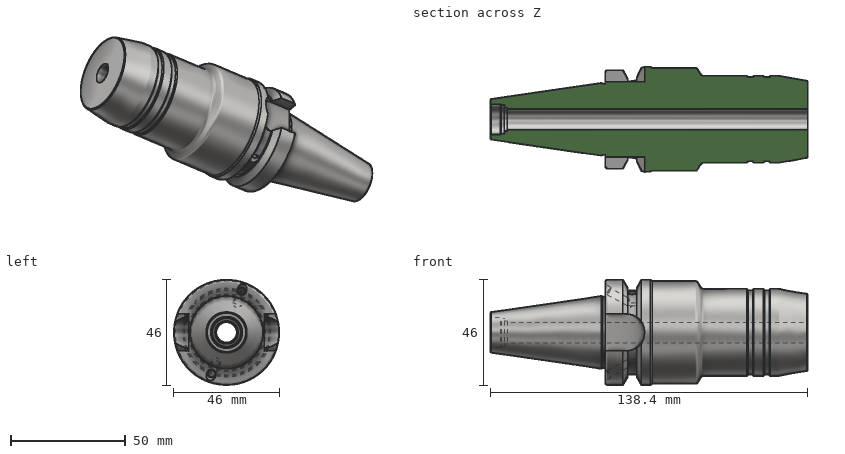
import cadquery as cq
import math

LENGTH = 138.4

TAPER_RATE = 7 / 24
TAPER_LENGTH = 48.5
TAPER_TIP_RADIUS = 8.9
TAPER_TIP_CHAMFER = 0.4
NECK_START = 49.1
NECK_RADIUS = 31.1 / 2

FLANGE_RADIUS = 46.0 / 2
FLANGE_START = 50.1
FLANGE_END = 70.6
FLANGE_FILLET = 1.1
FLANGE_CHAMFER_LENGTH = 0.8
V_GROOVE_CENTER = 61.9
V_GROOVE_WIDTH_AT_RIM = 8.0
V_GROOVE_FLOOR_WIDTH = 3.9
V_GROOVE_FLOOR_RADIUS = 36.8 / 2
V_GROOVE_FLANK_ANGLE = 60.0

BODY_RADIUS = 45.0 / 2
SHOULDER_START = 90.1
SHOULDER_ANGLE = 60.0
SHOULDER_FILLET = 1.5
SLEEVE_RADIUS = 38.0 / 2
NOSE_START = 125.8
NOSE_END_RADIUS = 16.9
NOSE_CHAMFER = 0.4

RING_GROOVE_STARTS = (111.8, 119.0)
RING_GROOVE_WIDTH = 3.0
RING_GROOVE_DEPTH = 0.5

BORE_DIAMETER = 8.9
STEP_DIAMETER = 10.1
STEP_DEPTH = 7.3
COUNTERBORE_DIAMETER = 12.5
COUNTERBORE_DEPTH = 6.1
ENTRY_DIAMETER = 13.1
ENTRY_DEPTH = 4.4
MOUTH_DIAMETER = 13.8

SLOT_WIDTH = 16.0
SLOT_END = 67.3
SLOT_FLOOR = 16.5

COOLANT_ANGLE = 20.0
COOLANT_ENTRY_RADIUS = 19.9
COOLANT_TILT = 30.0
COOLANT_MOUTH_DIAMETER = 4.0
COOLANT_MOUTH_DEPTH = 1.7
COOLANT_DIAMETER = 3.2
CROSS_HOLE_DIAMETER = 4.0
CROSS_HOLE_X = V_GROOVE_CENTER


def make_body():
    """Revolve the outer outline about X."""
    taper_end_radius = TAPER_TIP_RADIUS + TAPER_LENGTH * TAPER_RATE / 2
    tip_chamfer_radius = TAPER_TIP_RADIUS + TAPER_TIP_CHAMFER * TAPER_RATE / 2
    flank_slope = math.tan(math.radians(V_GROOVE_FLANK_ANGLE))
    flank_length = (V_GROOVE_WIDTH_AT_RIM - V_GROOVE_FLOOR_WIDTH) / 2
    flank_foot_radius = FLANGE_RADIUS - flank_length * flank_slope
    rim_half = V_GROOVE_WIDTH_AT_RIM / 2
    floor_half = V_GROOVE_FLOOR_WIDTH / 2
    shoulder_slope = math.tan(math.radians(SHOULDER_ANGLE))
    shoulder_end = SHOULDER_START + (BODY_RADIUS - SLEEVE_RADIUS) / shoulder_slope

    outline = [
        (0, 0),
        (0, TAPER_TIP_RADIUS - TAPER_TIP_CHAMFER),
        (TAPER_TIP_CHAMFER, tip_chamfer_radius),
        (TAPER_LENGTH, taper_end_radius),
        (NECK_START, NECK_RADIUS),
        (FLANGE_START, NECK_RADIUS),
        (FLANGE_START, FLANGE_RADIUS),
        (V_GROOVE_CENTER - rim_half, FLANGE_RADIUS),
        (V_GROOVE_CENTER - floor_half, flank_foot_radius),
        (V_GROOVE_CENTER - floor_half, V_GROOVE_FLOOR_RADIUS),
        (V_GROOVE_CENTER + floor_half, V_GROOVE_FLOOR_RADIUS),
        (V_GROOVE_CENTER + floor_half, flank_foot_radius),
        (V_GROOVE_CENTER + rim_half, FLANGE_RADIUS),
        (FLANGE_END - FLANGE_CHAMFER_LENGTH, FLANGE_RADIUS),
        (FLANGE_END, BODY_RADIUS),
        (SHOULDER_START, BODY_RADIUS),
        (shoulder_end, SLEEVE_RADIUS),
        (NOSE_START, SLEEVE_RADIUS),
        (LENGTH - NOSE_CHAMFER, NOSE_END_RADIUS),
        (LENGTH, NOSE_END_RADIUS - NOSE_CHAMFER),
        (LENGTH, 0),
    ]
    body = cq.Workplane("XY").polyline(outline).close().revolve(360, (0, 0, 0), (1, 0, 0))

    body = body.edges(circle_at(FLANGE_START, FLANGE_RADIUS)).fillet(FLANGE_FILLET)
    body = body.edges(circle_at(SHOULDER_START, BODY_RADIUS)).fillet(SHOULDER_FILLET)
    return body.edges(circle_at(shoulder_end, SLEEVE_RADIUS)).fillet(SHOULDER_FILLET)


def circle_at(x, radius):
    """Select the circular edge of a given radius that lies at x."""
    margin = 0.01

    def disc_box(reach):
        near = (x - margin, -reach, -reach)
        far = (x + margin, reach, reach)
        return cq.selectors.BoxSelector(near, far, boundingbox=True)

    return disc_box(radius + margin) - disc_box(radius - margin)


def make_ring_groove(start):
    """Trapezoidal ring that cuts one groove into the sleeve."""
    end = start + RING_GROOVE_WIDTH
    floor_radius = SLEEVE_RADIUS - RING_GROOVE_DEPTH
    section = [
        (start, SLEEVE_RADIUS),
        (start + RING_GROOVE_DEPTH, floor_radius),
        (end - RING_GROOVE_DEPTH, floor_radius),
        (end, SLEEVE_RADIUS),
    ]
    return cq.Workplane("XY").polyline(section).close().revolve(360, (0, 0, 0), (1, 0, 0))


def make_bore():
    """Through bore with three steps and a chamfered mouth at the taper end."""
    mouth_chamfer = (MOUTH_DIAMETER - ENTRY_DIAMETER) / 2
    entry_taper = (ENTRY_DIAMETER - COUNTERBORE_DIAMETER) / 2
    section = [
        (0, 0),
        (0, MOUTH_DIAMETER / 2),
        (mouth_chamfer, ENTRY_DIAMETER / 2),
        (ENTRY_DEPTH, ENTRY_DIAMETER / 2),
        (ENTRY_DEPTH + entry_taper, COUNTERBORE_DIAMETER / 2),
        (COUNTERBORE_DEPTH, COUNTERBORE_DIAMETER / 2),
        (COUNTERBORE_DEPTH, STEP_DIAMETER / 2),
        (STEP_DEPTH, STEP_DIAMETER / 2),
        (STEP_DEPTH, BORE_DIAMETER / 2),
        (LENGTH, BORE_DIAMETER / 2),
        (LENGTH, 0),
    ]
    return cq.Workplane("XY").polyline(section).close().revolve(360, (0, 0, 0), (1, 0, 0))


def make_drive_slot(side):
    """Round-ended slot open toward the taper; side is +1 or -1 along Y."""
    half_width = SLOT_WIDTH / 2
    arc_start = SLOT_END - half_width
    slot = (
        cq.Workplane("XZ", origin=(0, side * SLOT_FLOOR, 0))
        .moveTo(FLANGE_START, -half_width)
        .lineTo(arc_start, -half_width)
        .threePointArc((SLOT_END, 0), (arc_start, half_width))
        .lineTo(FLANGE_START, half_width)
        .close()
    )
    return slot.extrude(-side * FLANGE_RADIUS)


def cylinder(diameter, length, start, direction):
    return cq.Workplane(cq.Solid.makeCylinder(diameter / 2, length, cq.Vector(*start), cq.Vector(*direction)))


def make_coolant_channel(angle):
    """Inclined stepped channel and its cross hole, turned about X by angle."""
    tilt = math.radians(COOLANT_TILT)
    direction = (math.cos(tilt), 0, -math.sin(tilt))
    entry = (FLANGE_START, 0, COOLANT_ENTRY_RADIUS)
    run = CROSS_HOLE_X - FLANGE_START
    channel_length = run / math.cos(tilt)
    cross_hole_bottom = COOLANT_ENTRY_RADIUS - run * math.tan(tilt)

    lead = COOLANT_MOUTH_DIAMETER
    mouth_start = (entry[0] - lead * direction[0], 0, entry[2] - lead * direction[2])
    mouth = cylinder(COOLANT_MOUTH_DIAMETER, lead + COOLANT_MOUTH_DEPTH, mouth_start, direction)
    channel = cylinder(COOLANT_DIAMETER, channel_length, entry, direction)
    cross_hole = cylinder(
        CROSS_HOLE_DIAMETER,
        FLANGE_RADIUS - cross_hole_bottom,
        (CROSS_HOLE_X, 0, cross_hole_bottom),
        (0, 0, 1),
    )
    return mouth.union(channel).union(cross_hole).rotate((0, 0, 0), (1, 0, 0), angle)


result = make_body().cut(make_bore())
for groove_start in RING_GROOVE_STARTS:
    result = result.cut(make_ring_groove(groove_start))
for slot_side in (1, -1):
    result = result.cut(make_drive_slot(slot_side))
for channel_angle in (COOLANT_ANGLE, COOLANT_ANGLE + 180):
    result = result.cut(make_coolant_channel(channel_angle))